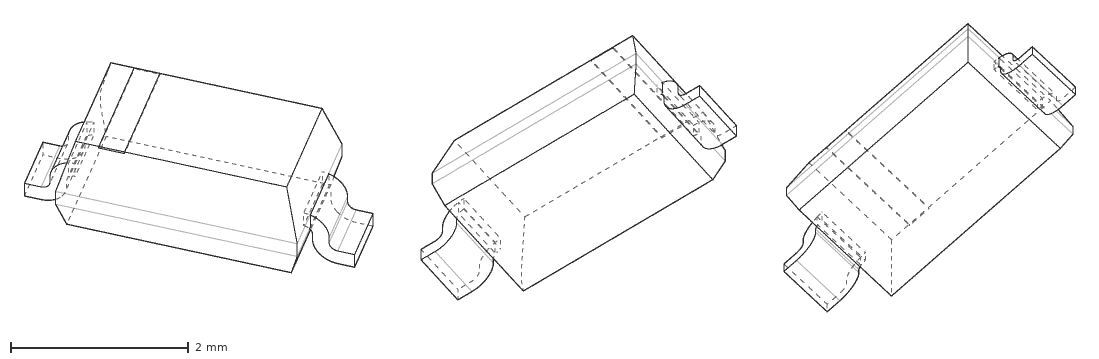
import cadquery as cq
import math

total_length = 3.9
total_height = 1.35
housing_length = 2.855
housing_width = 1.7
housing_bottom = 0.1
belt_bottom = 0.48
draft_angle = 15.0

lead_width = 0.702
lead_thickness = 0.2
inner_bend = 0.1
outer_bend = inner_bend + lead_thickness
foot_length = 0.2
belt_top = belt_bottom + lead_thickness

band_start = -0.97
band_width = 0.305
band_depth = 0.02


def make_housing():
    """Belt plus two tapered blocks, before the recesses are cut."""
    belt = (
        cq.Workplane("XY", origin=(0, 0, belt_bottom))
        .rect(housing_length, housing_width)
        .extrude(lead_thickness)
    )
    upper = (
        cq.Workplane("XY", origin=(0, 0, belt_top))
        .rect(housing_length, housing_width)
        .extrude(total_height - belt_top, taper=draft_angle)
    )
    lower = (
        cq.Workplane("XY", origin=(0, 0, belt_bottom))
        .rect(housing_length, housing_width)
        .extrude(housing_bottom - belt_bottom, taper=draft_angle)
    )
    return belt.union(upper).union(lower)


def make_lead():
    """Lead at the +X end: a constant-thickness strip with two opposite right-angle bends."""
    tip = total_length / 2
    lower_bend_x = tip - foot_length
    lower_bend_z = outer_bend
    shank_outer = lower_bend_x - inner_bend
    shank_inner = shank_outer - lead_thickness
    upper_bend_x = shank_outer - outer_bend
    upper_bend_z = belt_top - outer_bend
    diagonal = math.sqrt(0.5)

    def lower_mid(radius):
        return (lower_bend_x - radius * diagonal, lower_bend_z - radius * diagonal)

    def upper_mid(radius):
        return (upper_bend_x + radius * diagonal, upper_bend_z + radius * diagonal)

    return (
        cq.Workplane("XZ")
        .moveTo(tip, 0)
        .lineTo(tip, lead_thickness)
        .lineTo(lower_bend_x, lead_thickness)
        .threePointArc(lower_mid(inner_bend), (shank_outer, lower_bend_z))
        .lineTo(shank_outer, upper_bend_z)
        .threePointArc(upper_mid(outer_bend), (upper_bend_x, belt_top))
        .lineTo(upper_bend_x, belt_bottom)
        .threePointArc(upper_mid(inner_bend), (shank_inner, upper_bend_z))
        .lineTo(shank_inner, lower_bend_z)
        .threePointArc(lower_mid(outer_bend), (lower_bend_x, 0))
        .close()
        .extrude(lead_width / 2, both=True)
    )


def make_band(package):
    """Thin strip across the top face, its ends flush with the drafted sides."""
    strip = cq.Workplane("XY").box(
        band_width, housing_width, band_depth, centered=(False, True, False)
    )
    strip = strip.translate((band_start, 0, total_height - band_depth))
    return strip.intersect(package)


housing = make_housing()
band = make_band(housing)
housing = housing.cut(band)

leads = []
for turn in (0, 180):
    lead = make_lead().rotate((0, 0, 0), (0, 0, 1), turn)
    housing = housing.cut(lead)
    leads.append(lead)

result = cq.Compound.makeCompound(
    [housing.solids().val(), band.solids().val(), *[lead.solids().val() for lead in leads]]
)